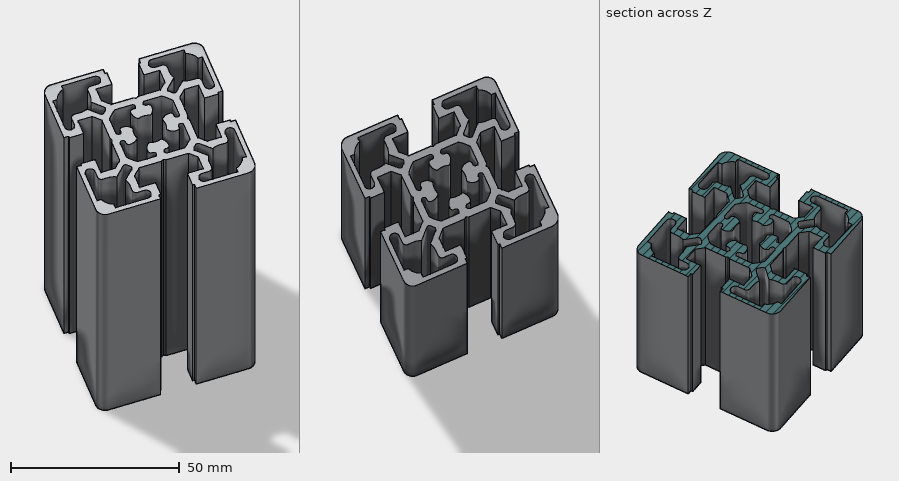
import cadquery as cq
import math

SIDE = 50.0
LENGTH = 100.0
HALF = SIDE / 2
OUTER_RADIUS = 3.0

MOUTH_WIDTH = 10.0
LIP_STEP = 0.6
SKIN = 1.5
LIP_DEPTH = 6.0
SLOT_HALF_WIDTH = 10.0
SLOT_DEPTH = 12.75
SLOT_CORNER = 2.25
MARK_HALF_WIDTH = 0.75
MARK_DEPTH = 0.4

POCKET_WIDTH = 3.0
POCKET_END = 17.4
BORE_RADIUS = 5.0
BORE_CENTER = 7.5
WALL_ROUND = 1.25
CORNER_PAD = 5.75
GROOVE_WIDTH = 2.8
GROOVE_REACH = 20.6
GROOVE_ROUND = 0.8

CORE_HALF = 10.0
CORE_CORNER_RADIUS = 12.4
CORE_CORNER_ROUND = 0.7
NECK_HALF_WIDTH = 1.25
NECK_GROOVE_RADIUS = 0.8
LUG_RADIUS = 3.3
LUG_CENTER = 7.3
LUG_BASE_ROUND = 0.9
LUG_TIP_ROUND = 0.5
SCREW_RADIUS = 5.0


def extrude_polygon(points):
    return cq.Workplane("XY").polyline(points).close().extrude(LENGTH)


def box(x_min, y_min, x_max, y_max):
    return extrude_polygon([(x_min, y_min), (x_max, y_min), (x_max, y_max), (x_min, y_max)])


def cylinder(x, y, radius):
    return cq.Workplane("XY").center(x, y).circle(radius).extrude(LENGTH)


def quarter_turn(shape, count):
    return shape.rotate((0, 0, 0), (0, 0, 1), 90 * count)


def t_slot():
    """Slot opening to the -Y face."""
    mouth = MOUTH_WIDTH / 2
    floor = SLOT_DEPTH - HALF
    right_side = [
        (mouth + LIP_STEP, -HALF),
        (mouth + LIP_STEP, SKIN - HALF),
        (mouth, SKIN - HALF),
        (mouth, LIP_DEPTH - HALF),
        (SLOT_HALF_WIDTH, LIP_DEPTH - HALF),
        (SLOT_HALF_WIDTH, floor - SLOT_CORNER),
        (SLOT_HALF_WIDTH - SLOT_CORNER, floor),
        (MARK_HALF_WIDTH, floor),
    ]
    left_side = [(-x, y) for x, y in reversed(right_side)]
    return extrude_polygon(right_side + [(0, floor + MARK_DEPTH)] + left_side)


def lip_pocket():
    """Round-ended pocket running along X just inside the outer wall."""
    radius = POCKET_WIDTH / 2
    round_center = POCKET_END - radius
    pocket = box(CORNER_PAD, SKIN, round_center, SKIN + POCKET_WIDTH)
    return pocket.union(cylinder(round_center, SKIN + radius, radius))


def swap_axes(shape):
    """Mirror across the diagonal x = y."""
    return shape.mirror("XZ").rotate((0, 0, 0), (0, 0, 1), 90)


def diagonal_groove():
    """Groove from the bore center toward the part axis, with a rounded flat floor."""
    start = BORE_CENTER * math.sqrt(2)
    groove = box(start, -GROOVE_WIDTH / 2, GROOVE_REACH, GROOVE_WIDTH / 2)
    groove = groove.edges("|Z and >X").fillet(GROOVE_ROUND)
    return groove.rotate((0, 0, 0), (0, 0, 1), 45)


def round_edge(shape, x, y, radius):
    """Round the lengthwise edge at (x, y)."""
    selector = cq.selectors.NearestToPointSelector((x, y, LENGTH / 2))
    return shape.edges("|Z").edges(selector).fillet(radius)


def corner_chamber():
    """Chamber of the corner whose outer faces are x = 0 and y = 0."""
    wall = BORE_CENTER + BORE_RADIUS
    arm = box(CORNER_PAD, SKIN, wall, BORE_CENTER).union(lip_pocket())
    arm = round_edge(arm, wall, SKIN + POCKET_WIDTH, WALL_ROUND)
    chamber = cylinder(BORE_CENTER, BORE_CENTER, BORE_RADIUS)
    return chamber.union(arm).union(swap_axes(arm)).union(diagonal_groove())


def screw_lug():
    """Lug on the -Y wall of the central cavity, hollowed to the screw radius."""
    base = -CORE_HALF + 2 * NECK_GROOVE_RADIUS
    groove_x = NECK_HALF_WIDTH + NECK_GROOVE_RADIUS
    groove_y = -CORE_HALF + NECK_GROOVE_RADIUS
    lug = cylinder(0, -LUG_CENTER, LUG_RADIUS)
    lug = lug.intersect(box(-LUG_RADIUS, base, LUG_RADIUS, 0))
    lug = lug.cut(cylinder(0, 0, SCREW_RADIUS))
    lug = lug.edges("|Z").edges("<Y").fillet(LUG_BASE_ROUND)
    lug = lug.edges("|Z").edges(">Y").fillet(LUG_TIP_ROUND)
    neck = box(-groove_x, -CORE_HALF, groove_x, base)
    for side in (-1, 1):
        neck = neck.cut(cylinder(side * groove_x, groove_y, NECK_GROOVE_RADIUS))
    return lug.union(neck)


def central_cavity():
    cavity = box(-CORE_HALF, -CORE_HALF, CORE_HALF, CORE_HALF)
    cavity = cavity.intersect(cylinder(0, 0, CORE_CORNER_RADIUS))
    cavity = cavity.edges("|Z").fillet(CORE_CORNER_ROUND)
    lug = screw_lug()
    for side in range(4):
        cavity = cavity.cut(quarter_turn(lug, side))
    return cavity


slot = t_slot()
chamber = corner_chamber().translate((-HALF, -HALF, 0))

result = box(-HALF, -HALF, HALF, HALF).edges("|Z").fillet(OUTER_RADIUS)
for side in range(4):
    result = result.cut(quarter_turn(slot, side))
    result = result.cut(quarter_turn(chamber, side))
result = result.cut(central_cavity())